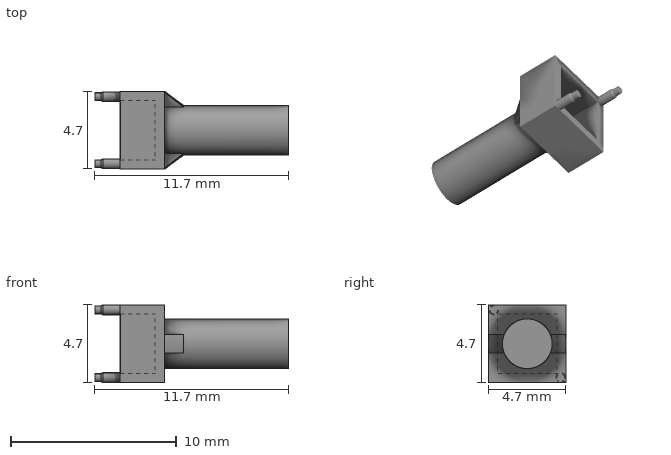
import cadquery as cq

TOTAL_LENGTH = 11.68
PIN_LENGTH = 1.52

BLOCK_SIDE = 4.7
BLOCK_LENGTH = 2.69
POCKET_SIDE = 3.56
POCKET_DEPTH = 2.1
STEM_DIAMETER = 3.0
BLOCK_END = PIN_LENGTH + BLOCK_LENGTH
STEM_RADIUS = STEM_DIAMETER / 2

GUSSET_LENGTH = 1.13
GUSSET_WIDTH = 1.09

SHANK_DIAMETER = 0.6
TIP_DIAMETER = 0.48
TIP_LENGTH = 0.37
TAPER_LENGTH = 0.13
PIN_INSET_Y = 0.33
PIN_INSET_Z = 0.3
PIN_Y = BLOCK_SIDE / 2 - PIN_INSET_Y
PIN_Z = BLOCK_SIDE / 2 - PIN_INSET_Z


def square_bar(side, start_x, length):
    """Square bar centred on the X axis."""
    return cq.Workplane("YZ").workplane(offset=start_x).rect(side, side).extrude(length)


def make_stem():
    """Solid round stem running from the block to the far end."""
    return (
        cq.Workplane("YZ")
        .workplane(offset=BLOCK_END)
        .circle(STEM_RADIUS)
        .extrude(TOTAL_LENGTH - BLOCK_END)
    )


def make_gussets():
    """Both gussets, as a flat slice through a cone around the stem."""
    cone = (
        cq.Workplane("XY")
        .moveTo(BLOCK_END, 0)
        .lineTo(BLOCK_END, BLOCK_SIDE / 2)
        .lineTo(BLOCK_END + GUSSET_LENGTH, STEM_RADIUS)
        .lineTo(BLOCK_END + GUSSET_LENGTH, 0)
        .close()
        .revolve(360, (0, 0, 0), (1, 0, 0))
    )
    slab = (
        cq.Workplane("YZ")
        .workplane(offset=BLOCK_END)
        .rect(BLOCK_SIDE, GUSSET_WIDTH)
        .extrude(GUSSET_LENGTH)
    )
    return cone.intersect(slab)


def make_housing():
    """Block, stem and gussets in one piece, with the pocket open to -X."""
    block = square_bar(BLOCK_SIDE, PIN_LENGTH, BLOCK_LENGTH)
    pocket = square_bar(POCKET_SIDE, PIN_LENGTH, POCKET_DEPTH)
    return block.union(make_stem()).union(make_gussets()).cut(pocket)


def make_pin(y, z):
    """Stepped pin along X, seated against the housing face."""
    taper_end = TIP_LENGTH + TAPER_LENGTH
    pin = (
        cq.Workplane("XY")
        .lineTo(0, TIP_DIAMETER / 2)
        .lineTo(TIP_LENGTH, TIP_DIAMETER / 2)
        .lineTo(taper_end, SHANK_DIAMETER / 2)
        .lineTo(PIN_LENGTH, SHANK_DIAMETER / 2)
        .lineTo(PIN_LENGTH, 0)
        .close()
        .revolve(360, (0, 0, 0), (1, 0, 0))
    )
    return pin.translate((0, y, z))


housing = make_housing()

pins = []
for side in (-1, 1):
    pins.append(make_pin(side * PIN_Y, -side * PIN_Z))

result = cq.Compound.makeCompound([housing.val(), *[pin.val() for pin in pins]])